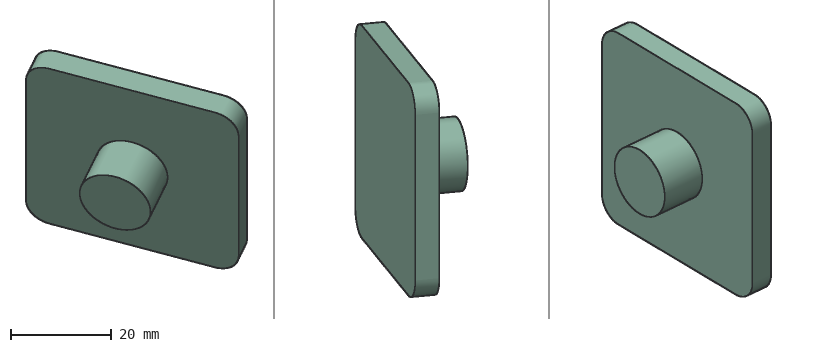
import cadquery as cq

plate_side = 45.0
plate_thickness = plate_side / 9
corner_radius = plate_thickness
pin_diameter = plate_side / 3
pin_length = 2 * plate_thickness


def make_plate():
    """Square plate in the XZ plane, front face at Y = 0, with rounded corners."""
    plate = cq.Workplane("XZ").rect(plate_side, plate_side).extrude(-plate_thickness)
    return plate.edges("|Y").fillet(corner_radius)


def make_pin():
    """Round pin standing out of the plate's front face toward -Y."""
    return cq.Workplane("XZ").circle(pin_diameter / 2).extrude(pin_length)


result = make_plate().union(make_pin())